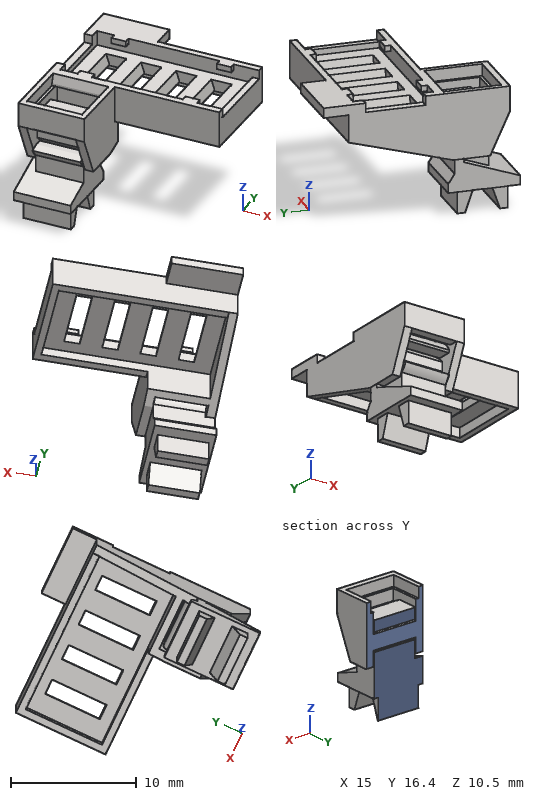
import cadquery as cq
import math


tray_length = 15.0
tray_front = 5.61
tray_rear = 13.49
tray_height = 3.19
rim = 0.6
left_rim = 0.72
tray_floor_z = -1.28
tray_floor_bottom_z = -2.29
end_wall_z = -0.77
notch_front = 7.05
notch_rear = 12.05

slot_count = 4
slot_pitch = 3.1
slot_width = 1.27
slot_first_x = 2.86
slot_front = 7.17
slot_rear = 11.96
slot_flare = 0.26
slot_flare_depth = 0.82
snap_tab_reach = 0.5
snap_tab_height = 0.5

rear_tab_end = 15.6
rear_tab_height = 0.84

block_width = 5.8
block_bottom_z = -5.72
block_bottom_front = 1.66
block_bottom_rear = 4.75
front_wall_bottom_z = -2.1
side_wall = 0.74
socket_front = 0.85
socket_rear = 5.6
mouth_wall = 0.48
mouth_front = 0.6
mouth_rear = 5.41
mouth_depth = 1.0
mouth_slope_depth = 0.79
mouth_slope_run = 0.25

pivot_y = 2.98
pivot_z = -3.6
bar_across_flats = 2.02
bar_sides = 8

side_gap = 0.05
clip_left = side_wall + side_gap
clip_right = block_width - side_wall - side_gap
ring_radius = 2.3
bore_radius = 1.1
ring_flat_half = 1.28
channel_half = 0.87
upper_lip_height = 0.18
upper_lip_run = 0.12
lower_lip_height = 0.2
lower_lip_run = 0.74
stem_front = 1.51
stem_rear = 4.64
foot_front = -0.85
foot_rear = 5.18
foot_bottom_z = -8.49
foot_edge_height = 0.77
foot_edge_z = foot_bottom_z + foot_edge_height
heel_front = 3.85
heel_z = -6.02
heel_top_z = block_bottom_z
stem_shoulder_z = -6.91

leg_bottom_z = -10.5
leg_side_inset = 0.43
leg_end_inset = 0.9
leg_top_length = 1.35
leg_bottom_length = 0.65


def box(x0, x1, y0, y1, z0, z1):
    """Box between two limits along each axis."""
    return cq.Workplane("XY").box(x1 - x0, y1 - y0, z1 - z0, centered=False).translate((x0, y0, z0))


def extrude_along_x(outline, x0, x1):
    """Extrudes an outline of (y, z) points from x0 to x1."""
    return cq.Workplane("YZ").polyline(outline).close().extrude(x1 - x0).translate((x0, 0, 0))


def slot_centres():
    return [slot_first_x + i * slot_pitch for i in range(slot_count)]


def tray_slot(centre_x):
    """Slot through the tray floor, flared along its upper part."""
    half = slot_width / 2
    flare_z = tray_floor_z - slot_flare_depth
    outline = [
        (centre_x - half - slot_flare, tray_floor_z),
        (centre_x + half + slot_flare, tray_floor_z),
        (centre_x + half, flare_z),
        (centre_x + half, tray_floor_bottom_z),
        (centre_x - half, tray_floor_bottom_z),
        (centre_x - half, flare_z),
    ]
    profile = cq.Workplane("XZ", origin=(0, slot_front, 0)).polyline(outline).close()
    return profile.extrude(slot_front - slot_rear)


def snap_tabs():
    """Small tabs on both long rims, above the first and the last slot."""
    inner_front = tray_front + rim
    inner_rear = tray_rear - rim
    tabs = []
    for centre_x in (slot_centres()[0], slot_centres()[-1]):
        left = centre_x - slot_width / 2
        right = centre_x + slot_width / 2
        for y0 in (inner_front, inner_rear - snap_tab_reach):
            tabs.append(box(left, right, y0, y0 + snap_tab_reach, -snap_tab_height, 0))
    return tabs


def make_tray():
    """Rimmed tray with a slotted floor, hollow above and below it, and a lower right end wall."""
    inner_right = tray_length - rim
    inner_front = tray_front + rim
    inner_rear = tray_rear - rim
    tray = box(0, tray_length, tray_front, tray_rear, -tray_height, 0)
    tray = tray.cut(box(left_rim, inner_right, inner_front, inner_rear, tray_floor_z, 0))
    tray = tray.cut(box(left_rim, inner_right, inner_front, inner_rear, -tray_height, tray_floor_bottom_z))
    tray = tray.cut(box(inner_right, tray_length, inner_front, inner_rear, end_wall_z, 0))
    for centre_x in slot_centres():
        tray = tray.cut(tray_slot(centre_x))
    for tab in snap_tabs():
        tray = tray.union(tab)
    return tray


def make_block():
    """Socket block with the sloping side plate that carries it on the left of the tray."""
    outline = [
        (0, 0),
        (tray_rear, 0),
        (tray_rear, -tray_height),
        (block_bottom_rear, block_bottom_z),
        (block_bottom_front, block_bottom_z),
        (0, front_wall_bottom_z),
    ]
    side_plate = extrude_along_x(outline, 0, left_rim)
    block = extrude_along_x(outline, 0, block_width)
    block = block.intersect(box(0, block_width, 0, tray_front + rim, block_bottom_z, 0))
    return block.union(side_plate)


def socket_mouth():
    """Rectangular recess in the top of the block, with a sloping upper rear wall."""
    slope_rear = mouth_rear - mouth_slope_run
    outline = [
        (mouth_front, 0),
        (mouth_rear, 0),
        (slope_rear, -mouth_slope_depth),
        (slope_rear, -mouth_depth),
        (mouth_front, -mouth_depth),
    ]
    return extrude_along_x(outline, mouth_wall, block_width - mouth_wall)


def socket_cavity():
    """Room for the clip, open at the bottom and below the front wall."""
    outline = [
        (socket_front, -mouth_depth),
        (socket_rear, -mouth_depth),
        (socket_rear, block_bottom_z),
        (0, block_bottom_z),
        (0, front_wall_bottom_z),
        (socket_front, front_wall_bottom_z),
    ]
    return extrude_along_x(outline, side_wall, block_width - side_wall)


def pivot_bar():
    """Eight-sided bar with a flat towards the front, between the side walls of the socket."""
    half_step = math.pi / bar_sides
    radius = bar_across_flats / 2 / math.cos(half_step)
    angles = [(2 * i + 1) * half_step for i in range(bar_sides)]
    outline = [(pivot_y + radius * math.cos(a), pivot_z + radius * math.sin(a)) for a in angles]
    return extrude_along_x(outline, side_wall, block_width - side_wall)


def make_housing():
    """Tray, socket block, pivot bar and rear tab in one body."""
    housing = make_tray().union(make_block())
    housing = housing.cut(box(0, left_rim, notch_front, notch_rear, end_wall_z, 0))
    housing = housing.cut(socket_mouth()).cut(socket_cavity())
    housing = housing.union(pivot_bar())
    return housing.union(box(0, block_width, tray_rear, rear_tab_end, -rear_tab_height, 0))


def cylinder_on_pivot(radius):
    circle = cq.Workplane("YZ").center(pivot_y, pivot_z).circle(radius)
    return circle.extrude(clip_right - clip_left).translate((clip_left, 0, 0))


def clip_channel():
    """Entry from the front to the bore, with lips that widen outwards."""
    upper_z = pivot_z + channel_half
    lower_z = pivot_z - channel_half
    upper_tip_z = upper_z + upper_lip_height
    lower_tip_z = lower_z - lower_lip_height
    upper_tip_y = pivot_y - math.sqrt(ring_radius**2 - (upper_tip_z - pivot_z) ** 2)
    lower_tip_y = pivot_y - math.sqrt(ring_radius**2 - (lower_tip_z - pivot_z) ** 2)
    outline = [
        (pivot_y, upper_z),
        (upper_tip_y + upper_lip_run, upper_z),
        (upper_tip_y, upper_tip_z),
        (pivot_y - ring_radius, upper_tip_z),
        (pivot_y - ring_radius, lower_tip_z),
        (lower_tip_y, lower_tip_z),
        (lower_tip_y + lower_lip_run, lower_z),
        (pivot_y, lower_z),
    ]
    return extrude_along_x(outline, clip_left, clip_right)


def make_foot():
    """Foot plate with a sloping top and a heel that stands under the left side wall."""
    outline = [
        (foot_front, foot_bottom_z),
        (foot_rear, foot_bottom_z),
        (foot_rear, foot_edge_z),
        (stem_rear, stem_shoulder_z),
        (stem_rear, heel_top_z),
        (heel_front, heel_top_z),
        (heel_front, heel_z),
        (foot_front, foot_edge_z),
    ]
    return extrude_along_x(outline, 0, clip_right)


def make_leg(outer_y, direction):
    """Leg with an upright outer face; direction (+1 or -1) points along Y to the other leg."""
    outline = [
        (outer_y, foot_bottom_z),
        (outer_y + direction * leg_top_length, foot_bottom_z),
        (outer_y + direction * leg_bottom_length, leg_bottom_z),
        (outer_y, leg_bottom_z),
    ]
    return extrude_along_x(outline, leg_side_inset, clip_right - leg_side_inset)


def make_clip():
    """Open ring that snaps onto the pivot bar, on a stem with a foot and two legs."""
    ring_flat_z = pivot_z + math.sqrt(ring_radius**2 - ring_flat_half**2)
    clip = cylinder_on_pivot(ring_radius)
    clip = clip.union(box(clip_left, clip_right, stem_front, stem_rear, foot_edge_z, pivot_z))
    ring_top_z = pivot_z + ring_radius
    ring_front = pivot_y - ring_radius
    ring_rear = pivot_y + ring_radius
    clip = clip.cut(box(clip_left, clip_right, ring_front, ring_rear, ring_flat_z, ring_top_z))
    clip = clip.cut(cylinder_on_pivot(bore_radius)).cut(clip_channel())
    clip = clip.union(make_foot())
    clip = clip.union(make_leg(foot_front + leg_end_inset, 1))
    return clip.union(make_leg(foot_rear - leg_end_inset, -1))


housing = make_housing()
clip = make_clip()

result = cq.Compound.makeCompound([housing.solids().val(), clip.solids().val()])